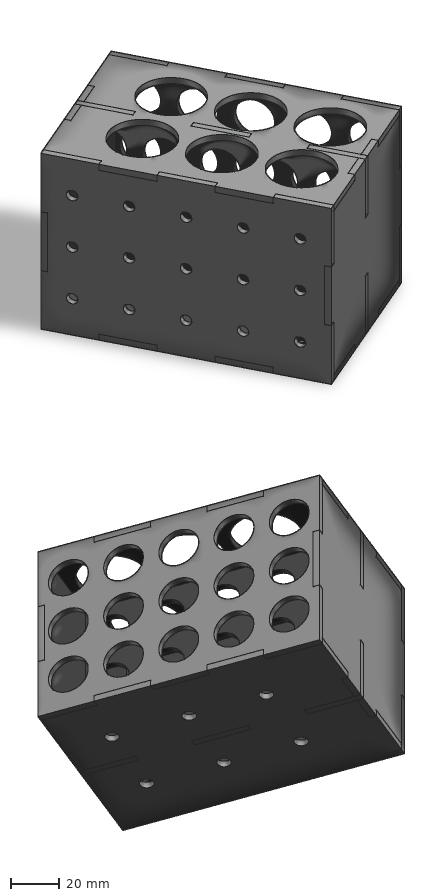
import cadquery as cq

LENGTH = 127.8
WIDTH = 85.5
HEIGHT = 85.5
SHEET = 3.0

LONG_FINGER = LENGTH / 5
SIDE_FINGER = WIDTH / 3
UPRIGHT_FINGER = HEIGHT / 3

WALL_HOLE_COLUMNS = 5
WALL_HOLE_ROWS = 3
WALL_HOLE_PITCH = 25.0
FRONT_HOLE_DIAMETER = 5.0
INNER_HOLE_DIAMETER = 18.0

HOLDER_COLUMNS = 3
HOLDER_ROWS = 2
HOLDER_PITCH = 35.0
HOLDER_OFFSET_X = 6.6
HOLDER_DIAMETER = 30.0
DRAIN_DIAMETER = 6.0

WALL_Y = (WIDTH - SHEET) / 2
END_X = (LENGTH - SHEET) / 2
COVER_Z = (HEIGHT - SHEET) / 2


def block(size_x, size_y, size_z, center):
    return cq.Workplane("XY").box(size_x, size_y, size_z).translate(center)


def long_wall(center_y, hole_diameter):
    """Upright wall along X, notched for the covers and end panels, with a grid of holes."""
    wall = block(LENGTH, SHEET, HEIGHT, (0, center_y, 0))
    for side in (-1, 1):
        wall = wall.cut(block(SHEET, SHEET, UPRIGHT_FINGER, (side * END_X, center_y, 0)))
        for notch_x in (-LONG_FINGER, LONG_FINGER):
            wall = wall.cut(block(LONG_FINGER, SHEET, SHEET, (notch_x, center_y, side * COVER_Z)))
    holes = (
        cq.Workplane("XZ", origin=(0, center_y + SHEET / 2, 0))
        .rarray(WALL_HOLE_PITCH, WALL_HOLE_PITCH, WALL_HOLE_COLUMNS, WALL_HOLE_ROWS)
        .circle(hole_diameter / 2)
        .extrude(SHEET)
    )
    return wall.cut(holes)


def end_panel(center_x, walls):
    """Panel across Y whose outer-third top and bottom edges make room for the covers."""
    panel = block(SHEET, WIDTH, HEIGHT, (center_x, 0, 0))
    for side_y in (-1, 1):
        for side_z in (-1, 1):
            notch_center = (center_x, side_y * SIDE_FINGER, side_z * COVER_Z)
            panel = panel.cut(block(SHEET, SIDE_FINGER, SHEET, notch_center))
    for wall in walls:
        panel = panel.cut(wall)
    return panel


def cover(center_z, hole_diameter, uprights):
    """Top or bottom panel with a grid of holes, slotted for every upright panel."""
    panel = block(LENGTH, WIDTH, SHEET, (0, 0, center_z))
    for upright in uprights:
        panel = panel.cut(upright)
    holes = (
        cq.Workplane("XY", origin=(HOLDER_OFFSET_X, 0, center_z - SHEET / 2))
        .rarray(HOLDER_PITCH, HOLDER_PITCH, HOLDER_COLUMNS, HOLDER_ROWS)
        .circle(hole_diameter / 2)
        .extrude(SHEET)
    )
    return panel.cut(holes)


front_wall = long_wall(-WALL_Y, FRONT_HOLE_DIAMETER)
inner_walls = [long_wall(center_y, INNER_HOLE_DIAMETER) for center_y in (0, WALL_Y)]
walls = [front_wall, *inner_walls]

end_panels = [end_panel(center_x, walls) for center_x in (-END_X, END_X)]

uprights = walls + end_panels
top_panel = cover(COVER_Z, HOLDER_DIAMETER, uprights)
bottom_panel = cover(-COVER_Z, DRAIN_DIAMETER, uprights)

panels = [*uprights, top_panel, bottom_panel]
result = cq.Compound.makeCompound([panel.solids().val() for panel in panels])